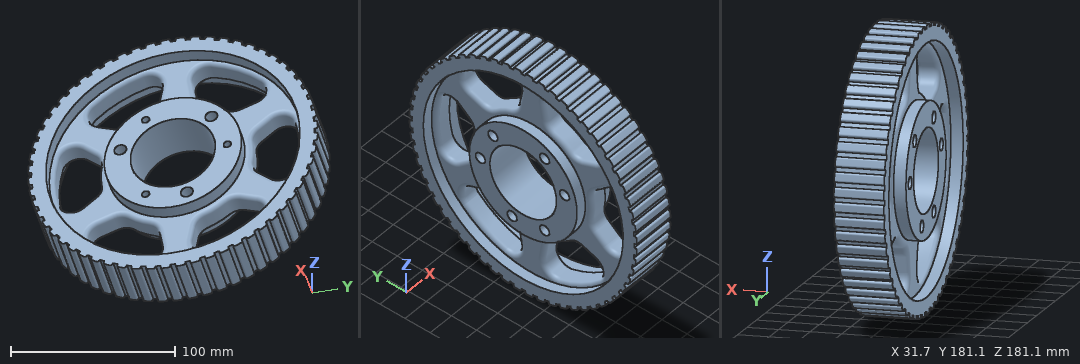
import cadquery as cq
import math


outer_size = 181.1
width = 31.7
tooth_count = 60
gap_mouth_width = 5.8
gap_root_width = 2.9
gap_depth = 2.0
tip_rounding = 1.18
rim_inner_radius = 79.5
tip_radius = math.hypot(outer_size / 2, gap_mouth_width / 2)
root_distance = outer_size / 2 - gap_depth

hub_radius = 43.0
bore_diameter = 53.0
recess_depth = 7.8
web_thickness = 14.9
web_centre_x = (web_thickness - width) / 2 + recess_depth

window_count = 6
window_rounding = 3.5
window_outer_radius = rim_inner_radius - window_rounding
window_inner_radius = 48.0
window_apex = 31.2
window_half_angle = 40.0
window_corner_radius = 9.2

bolt_circle_radius = 34.0
bolt_hole_diameter = 7.6
small_hole_diameter = 4.7
counterbore_depth = width / 2
through_hole_angles = (45, 165, 285)
stepped_hole_angles = (0, 120, 240)


def polar(radius, degrees):
    """Point in the YZ plane, with the angle measured from +Y towards +Z."""
    angle = math.radians(degrees)
    return (radius * math.cos(angle), radius * math.sin(angle))


def disc(radius, thickness):
    return cq.Workplane("YZ").circle(radius).extrude(thickness / 2, both=True)


def turned(point, degrees):
    """Point in the YZ plane turned about the axle."""
    y, z = point
    cosine, sine = polar(1, degrees)
    return (y * cosine - z * sine, y * sine + z * cosine)


def tooth_flank():
    """Points of one tooth flank, on the +Z side of the gap that is centred on +Y.

    From the gap root outwards: root corner, start of the tip rounding, its middle and its end.
    """
    root_corner = (root_distance, gap_root_width / 2)
    rounding_end = (outer_size / 2, gap_mouth_width / 2)
    shrink = (tip_radius - tip_rounding) / tip_radius
    centre = (rounding_end[0] * shrink, rounding_end[1] * shrink)

    reach_y = centre[0] - root_corner[0]
    reach_z = centre[1] - root_corner[1]
    reach = math.hypot(reach_y, reach_z)
    slope = math.atan2(reach_z, reach_y) - math.asin(tip_rounding / reach)
    start_direction = slope - math.pi / 2
    end_direction = math.atan2(centre[1], centre[0])

    def on_rounding(direction):
        return (
            centre[0] + tip_rounding * math.cos(direction),
            centre[1] + tip_rounding * math.sin(direction),
        )

    rounding_start = on_rounding(start_direction)
    rounding_middle = on_rounding((start_direction + end_direction) / 2)
    return root_corner, rounding_start, rounding_middle, rounding_end


def mirrored(point):
    """Same point on the -Z side."""
    return (point[0], -point[1])


def make_toothed_rim():
    """Ring with tapered gaps between round-tipped teeth, one gap centred on +Y."""
    pitch = 360 / tooth_count
    flank = tooth_flank()
    next_flank = [turned(mirrored(point), pitch) for point in flank]
    tip_middle = polar(tip_radius, pitch / 2)

    outline = cq.Workplane("YZ").moveTo(*mirrored(flank[0]))
    for tooth in range(tooth_count):
        angle = tooth * pitch
        root, start, middle, end = [turned(point, angle) for point in flank]
        next_root, next_start, next_middle, next_end = [turned(point, angle) for point in next_flank]
        outline = (
            outline.lineTo(*root)
            .lineTo(*start)
            .threePointArc(middle, end)
            .threePointArc(turned(tip_middle, angle), next_end)
            .threePointArc(next_middle, next_start)
        )
        if tooth < tooth_count - 1:
            outline = outline.lineTo(*next_root)
    rim = outline.close().extrude(width / 2, both=True)
    return rim.cut(disc(rim_inner_radius, width))


def window_side_corner(radius):
    """Point at the given radius on the upper side of the window that is centred on +Y."""
    bend = math.asin(window_apex * math.sin(math.radians(window_half_angle)) / radius)
    return polar(radius, window_half_angle - math.degrees(bend))


def make_window():
    """Window centred on +Y: two arcs about the axle joined by two straight sides."""
    inner_y, inner_z = window_side_corner(window_inner_radius)
    outer_y, outer_z = window_side_corner(window_outer_radius)
    window = (
        cq.Workplane("YZ")
        .moveTo(inner_y, -inner_z)
        .lineTo(outer_y, -outer_z)
        .threePointArc((window_outer_radius, 0), (outer_y, outer_z))
        .lineTo(inner_y, inner_z)
        .threePointArc((window_inner_radius, 0), (inner_y, -inner_z))
        .close()
        .extrude(web_thickness / 2, both=True)
    )
    return window.edges("|X").fillet(window_corner_radius)


def make_web():
    """Disc centred on the origin and reaching into the rim, with windows rounded on both faces."""
    web_radius = (rim_inner_radius + root_distance) / 2
    web = disc(web_radius, web_thickness)
    window = make_window()
    for index in range(window_count):
        angle = index * 360 / window_count
        web = web.cut(window.rotate((0, 0, 0), (1, 0, 0), angle))
    faces = web.faces("<X or >X").vals()
    rims = [edge for face in faces for wire in face.innerWires() for edge in wire.Edges()]
    return web.newObject(rims).fillet(window_rounding)


def bolt_holes(diameter, angles, start_x, depth):
    """Cylinders on the bolt circle, running from start_x towards +X."""
    centres = [polar(bolt_circle_radius, angle) for angle in angles]
    plane = cq.Workplane("YZ", origin=(start_x, 0, 0))
    return plane.pushPoints(centres).circle(diameter / 2).extrude(depth)


result = make_toothed_rim().union(make_web().translate((web_centre_x, 0, 0)))
result = result.union(disc(hub_radius, width))
result = result.cut(disc(bore_diameter / 2, width))
result = result.cut(bolt_holes(bolt_hole_diameter, through_hole_angles, -width / 2, width))
result = result.cut(bolt_holes(small_hole_diameter, stepped_hole_angles, -width / 2, width))
result = result.cut(bolt_holes(bolt_hole_diameter, stepped_hole_angles, -width / 2, counterbore_depth))